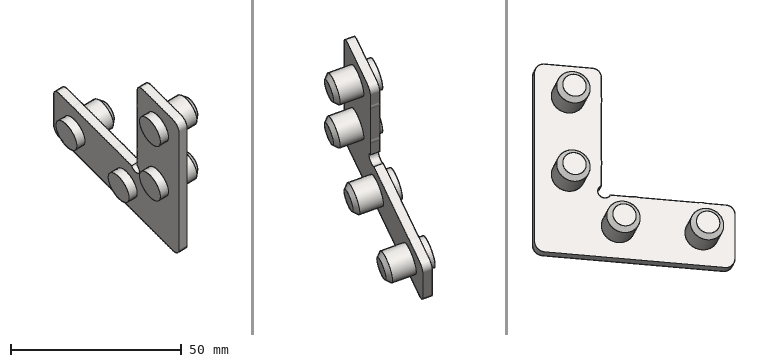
import cadquery as cq

side = 60.0
leg_width = side / 3
plate_thickness = 3.0
outer_corner_radius = 3.0
inner_end_radius = 2.7

features_per_leg = 2

peg_diameter = leg_width / 2
peg_front_height = 3.0
peg_back_height = 9.0
peg_chamfer = 1.5
peg_end_distance = leg_width / 2
peg_spacing = 25.0

relief_radius = 2.0
relief_offset = 0.9

bump_width = 2.0
bump_height = 0.15
bump_end_distance = peg_end_distance
bump_spacing = side / 3

half_side = side / 2
inner_x = half_side - leg_width
inner_z = leg_width - half_side
back_face = plate_thickness / 2


def plate_prism(outline):
    """Extrude a closed XZ outline through the plate thickness."""
    return outline.extrude(plate_thickness)


def back_plane():
    """XZ sketch plane on the back face; extrusion runs toward -Y."""
    return cq.Workplane("XZ", origin=(0, back_face, 0))


def make_plate():
    plate = plate_prism(
        back_plane().polyline([
            (-half_side, -half_side),
            (half_side, -half_side),
            (half_side, half_side),
            (inner_x, half_side),
            (inner_x, inner_z),
            (-half_side, inner_z),
        ]).close()
    )
    nearest = cq.selectors.NearestToPointSelector
    inner_end_corners = nearest((inner_x, 0, half_side)) + nearest((-half_side, 0, inner_z))
    outer_corners = (
        nearest((-half_side, 0, -half_side))
        + nearest((half_side, 0, -half_side))
        + nearest((half_side, 0, half_side))
    )
    plate = plate.edges("|Y").edges(inner_end_corners).fillet(inner_end_radius)
    plate = plate.edges("|Y").edges(outer_corners).fillet(outer_corner_radius)
    relief = plate_prism(
        back_plane()
        .center(inner_x - relief_offset, inner_z + relief_offset)
        .circle(relief_radius)
    )
    return plate.cut(relief)


def make_bumps(distance):
    """One bump on each inner edge, at a distance from the end of its leg."""
    x = distance - half_side
    z = half_side - distance
    half_width = bump_width / 2
    upper = (
        back_plane()
        .moveTo(x - half_width, inner_z)
        .threePointArc((x, inner_z + bump_height), (x + half_width, inner_z))
        .close()
    )
    side_bump = (
        back_plane()
        .moveTo(inner_x, z - half_width)
        .threePointArc((inner_x - bump_height, z), (inner_x, z + half_width))
        .close()
    )
    return plate_prism(upper).union(plate_prism(side_bump))


def make_peg(x, z):
    length = peg_front_height + plate_thickness + peg_back_height
    return (
        cq.Workplane("XZ", origin=(x, back_face + peg_back_height, z))
        .circle(peg_diameter / 2)
        .extrude(length)
        .faces(">Y")
        .chamfer(peg_chamfer)
    )


result = make_plate()

for index in range(features_per_leg):
    result = result.union(make_bumps(bump_end_distance + index * bump_spacing))
    peg_distance = peg_end_distance + index * peg_spacing
    result = result.union(make_peg(peg_distance - half_side, peg_end_distance - half_side))
    result = result.union(make_peg(half_side - peg_end_distance, half_side - peg_distance))